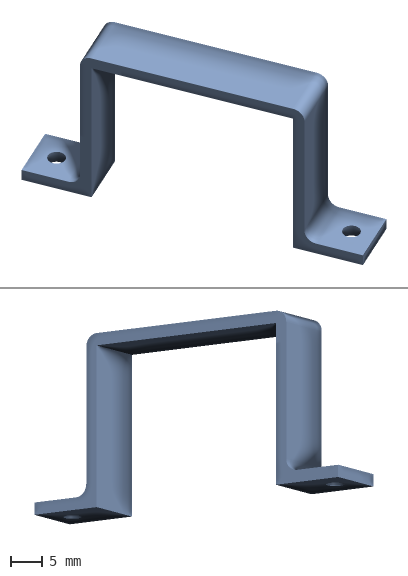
import cadquery as cq

length = 58.5
width = 10.0
height = 28.15
thickness = 2.0
opening_width = 34.5
bend_radius = 2.0
hole_diameter = 3.0
hole_end_distance = 4.0

bridge_width = opening_width + 2 * thickness
opening_height = height - thickness
hole_x = length / 2 - hole_end_distance


def centred_block(size_x, size_z):
    """Block centred in X and Y, standing on Z = 0."""
    return cq.Workplane("XY").box(size_x, width, size_z, centered=(True, True, False))


def bracket_body():
    """Hat-shaped strap with rounded outer bends and a square-cornered opening."""
    feet = centred_block(length, thickness)
    bridge = centred_block(bridge_width, height)
    outer_bends = cq.selectors.BoxSelector(
        (-bridge_width / 2 - thickness / 2, -width, thickness / 2),
        (bridge_width / 2 + thickness / 2, width, height + thickness),
    )
    solid = feet.union(bridge).edges("|Y").edges(outer_bends).fillet(bend_radius)
    return solid.cut(centred_block(opening_width, opening_height))


def mounting_holes():
    """Vertical cutters through both feet."""
    return (
        cq.Workplane("XY")
        .pushPoints([(-hole_x, 0), (hole_x, 0)])
        .circle(hole_diameter / 2)
        .extrude(thickness)
    )


result = bracket_body().cut(mounting_holes())